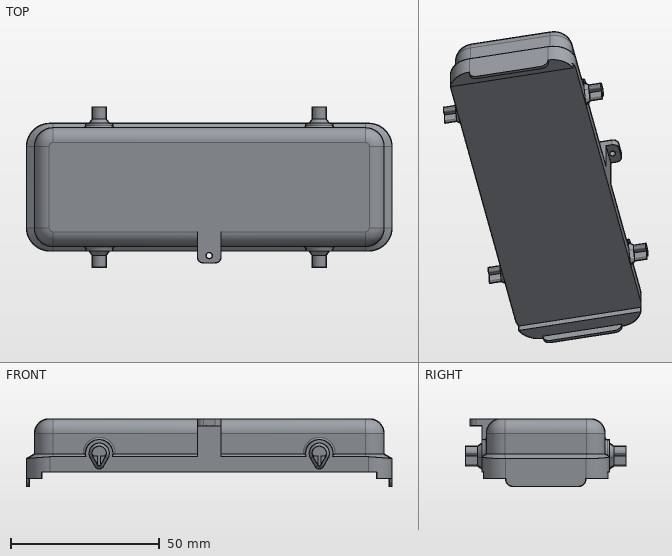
import cadquery as cq
import math

TOP_Z = 22.8
LEDGE_Z = 10.95
RIM_BOTTOM_Z = 4.9
SKIRT_BOTTOM_Z = 2.7

BODY_LENGTH = 117.6
BODY_WIDTH = 40.0
BODY_CORNER_RADIUS = 6.3
BODY_TOP_FILLET = 5.0

RIM_LENGTH = 123.0
RIM_WIDTH = 43.0
RIM_CORNER_RADIUS = 8.0
LEDGE_SLOPE = 30.0
LEDGE_REACH = 4.0

SKIRT_LENGTH = 5.2
TAB_THICKNESS = 1.0
TAB_WIDTH = RIM_WIDTH - 2 * RIM_CORNER_RADIUS
TAB_CORNER_RADIUS = 2.5

STRAP_WIDTH = 8.0
LUG_THICKNESS = 2.4
LUG_END_Y = -25.5
LUG_CORNER_RADIUS = 2.0
LUG_HOLE_DIAMETER = 2.0
LUG_HOLE_Y = -23.0

PIN_X = 37.0
PIN_Z = 11.2
PIN_END_Y = 27.0
BOSS_RADIUS = 4.6
BOSS_FLARE = 0.75
HEAD_RADIUS = 2.4
HEAD_UNDERSIDE_RADIUS = 0.9
WEB_WIDTH = 1.0
PIN_BOTTOM_Z = 6.9
FOOT_HEIGHT = 1.4
FOOT_SPREAD = 1.0


def rounded_block(length, width, radius, bottom_z, top_z):
    """Block centred on the Z axis with rounded vertical edges."""
    block = cq.Workplane("XY").workplane(offset=bottom_z).rect(length, width).extrude(top_z - bottom_z)
    return block.edges("|Z").fillet(radius)


def make_body():
    body = rounded_block(BODY_LENGTH, BODY_WIDTH, BODY_CORNER_RADIUS, RIM_BOTTOM_Z, TOP_Z)
    return body.faces(">Z").edges().fillet(BODY_TOP_FILLET)


def make_rim():
    """Rim block whose top slopes down and outwards from the body outline."""
    rim = rounded_block(RIM_LENGTH, RIM_WIDTH, RIM_CORNER_RADIUS, RIM_BOTTOM_Z, LEDGE_Z)
    slope_drop = LEDGE_REACH * math.tan(math.radians(LEDGE_SLOPE))
    slope_foot_z = LEDGE_Z - slope_drop
    roof = (
        rounded_block(
            BODY_LENGTH + 2 * LEDGE_REACH,
            BODY_WIDTH + 2 * LEDGE_REACH,
            BODY_CORNER_RADIUS + LEDGE_REACH,
            RIM_BOTTOM_Z,
            slope_foot_z,
        )
        .faces(">Z")
        .wires()
        .toPending()
        .workplane()
        .extrude(slope_drop, taper=90 - LEDGE_SLOPE)
    )
    return rim.intersect(roof)


def make_end_skirts():
    """Part of the rim outline that reaches lower at both ends."""
    skirts = rounded_block(RIM_LENGTH, RIM_WIDTH, RIM_CORNER_RADIUS, SKIRT_BOTTOM_Z, RIM_BOTTOM_Z)
    gap = cq.Workplane("XY").box(RIM_LENGTH - 2 * SKIRT_LENGTH, RIM_WIDTH, TOP_Z)
    return skirts.cut(gap)


def make_end_tab(side):
    """Thin tab under one end; side is -1 or +1 along X."""
    tab = (
        cq.Workplane("XY")
        .box(TAB_THICKNESS, TAB_WIDTH, RIM_BOTTOM_Z, centered=(True, True, False))
        .edges("|X and <Z")
        .fillet(TAB_CORNER_RADIUS)
    )
    return tab.translate((side * (RIM_LENGTH - TAB_THICKNESS) / 2, 0, 0))


def make_strap():
    """Upright strap flush with the rim side and the body top, with the lug at its upper end."""
    strap_top_start_y = BODY_TOP_FILLET - BODY_WIDTH / 2
    strap_depth = RIM_WIDTH / 2 + strap_top_start_y
    strap = (
        cq.Workplane("XY")
        .box(STRAP_WIDTH, strap_depth, TOP_Z - RIM_BOTTOM_Z, centered=(True, False, False))
        .translate((0, -RIM_WIDTH / 2, RIM_BOTTOM_Z))
    )
    lug = (
        cq.Workplane("XY")
        .box(STRAP_WIDTH, strap_top_start_y - LUG_END_Y, LUG_THICKNESS, centered=(True, False, False))
        .translate((0, LUG_END_Y, TOP_Z - LUG_THICKNESS))
        .edges("|Z and <Y")
        .fillet(LUG_CORNER_RADIUS)
    )
    hole = (
        cq.Workplane("XY")
        .workplane(offset=TOP_Z - LUG_THICKNESS)
        .center(0, LUG_HOLE_Y)
        .circle(LUG_HOLE_DIAMETER / 2)
        .extrude(LUG_THICKNESS)
    )
    return strap.union(lug).cut(hole)


def teardrop(sketch_plane, growth):
    """Outline tangent to the pin's round top and to its web's round bottom, offset by growth."""
    big = HEAD_RADIUS + growth
    small = WEB_WIDTH / 2 + growth
    tip_centre = PIN_BOTTOM_Z + WEB_WIDTH / 2 - PIN_Z
    lean = math.asin((big - small) / -tip_centre)
    side = math.cos(lean)
    drop = math.sin(lean)
    return (
        sketch_plane.moveTo(big * side, -big * drop)
        .threePointArc((0, big), (-big * side, -big * drop))
        .lineTo(-small * side, tip_centre - small * drop)
        .threePointArc((0, tip_centre - small), (small * side, tip_centre - small * drop))
        .close()
    )


def make_front_pin():
    """Locking pin pointing towards -Y at X = 0: flared boss, teardrop foot, mushroom-shaped pin."""
    wall_y = BODY_WIDTH / 2
    rim_y = RIM_WIDTH / 2
    flare_mid = BOSS_FLARE * (1 - math.sqrt(0.5))
    boss = (
        cq.Workplane("XY")
        .moveTo(0, 0)
        .lineTo(BOSS_RADIUS + BOSS_FLARE, 0)
        .lineTo(BOSS_RADIUS + BOSS_FLARE, -wall_y)
        .threePointArc(
            (BOSS_RADIUS + flare_mid, -wall_y - flare_mid),
            (BOSS_RADIUS, -wall_y - BOSS_FLARE),
        )
        .lineTo(BOSS_RADIUS, -rim_y)
        .lineTo(0, -rim_y)
        .close()
        .revolve(360, (0, 0, 0), (0, 1, 0))
    )

    foot_plane = cq.Workplane("XZ").workplane(offset=rim_y)
    foot_taper = math.degrees(math.atan(FOOT_SPREAD / FOOT_HEIGHT))
    foot = teardrop(foot_plane, FOOT_SPREAD).extrude(FOOT_HEIGHT, taper=foot_taper)

    half_web = WEB_WIDTH / 2
    underside_start = HEAD_RADIUS - HEAD_UNDERSIDE_RADIUS
    underside_mid_x = underside_start + HEAD_UNDERSIDE_RADIUS * math.sqrt(0.5)
    underside_mid_z = -HEAD_UNDERSIDE_RADIUS * math.sqrt(0.5)
    web_top = -HEAD_UNDERSIDE_RADIUS
    web_round_centre = PIN_BOTTOM_Z + half_web - PIN_Z
    pin = (
        cq.Workplane("XZ")
        .workplane(offset=rim_y)
        .moveTo(-HEAD_RADIUS, 0)
        .threePointArc((0, HEAD_RADIUS), (HEAD_RADIUS, 0))
        .threePointArc((underside_mid_x, underside_mid_z), (underside_start, web_top))
        .lineTo(half_web, web_top)
        .lineTo(half_web, web_round_centre)
        .threePointArc((0, web_round_centre - half_web), (-half_web, web_round_centre))
        .lineTo(-half_web, web_top)
        .lineTo(-underside_start, web_top)
        .threePointArc((-underside_mid_x, underside_mid_z), (-HEAD_RADIUS, 0))
        .close()
        .extrude(PIN_END_Y - rim_y)
    )
    return boss.union(foot).union(pin).translate((0, 0, PIN_Z))


def make_cover():
    cover = make_body().union(make_rim()).union(make_end_skirts()).union(make_strap())
    for side in (-1, 1):
        cover = cover.union(make_end_tab(side))
    front_pin = make_front_pin()
    back_pin = front_pin.mirror("XZ")
    for x in (-PIN_X, PIN_X):
        for pin in (front_pin, back_pin):
            cover = cover.union(pin.translate((x, 0, 0)))
    return cover


result = make_cover()